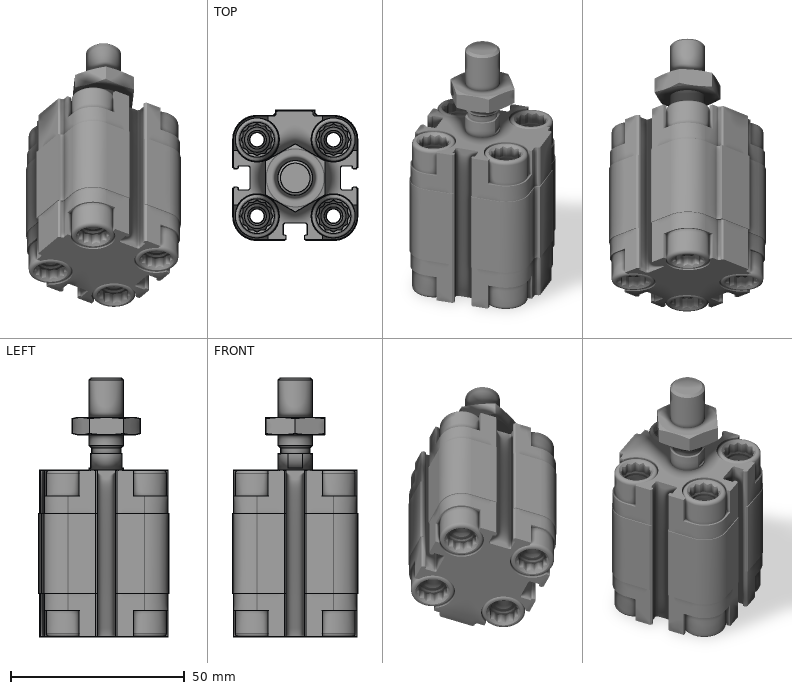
import cadquery as cq
import math

TOTAL_HEIGHT = 74.5
HOUSING_HEIGHT = 48.0
CAP_HEIGHT = 12.5

BARREL_WIDTH = 36.0
BARREL_DEPTH = 37.5
BARREL_HALF_WIDTH = BARREL_WIDTH / 2
BARREL_TAB_REACH = BARREL_DEPTH - BARREL_HALF_WIDTH
CAP_INSET = 0.2
SCREW_SPACING = 22.0
SCREW_OFFSET = SCREW_SPACING / 2
CORNERS = 4

BARREL_TAB_HALF_WIDTH = 5.65
BARREL_TAB_FLARE = 0.7
CAP_TAB_HALF_WIDTH = 5.4
CAP_TAB_CHAMFER = 0.4
CAP_TAB_FLARE = 0.45
CAP_TAB_SHIFT = -0.2

SLOT_FLOOR = 13.05
SLOT_HALF_WIDTH = 3.4
SLOT_LIP_INNER = 16.4
SLOT_GAP_HALF_WIDTH = 2.6
SLOT_EDGE_CHAMFER = 0.45
SLOT_LIP_CHAMFER = 0.3
SLOT_FLOOR_CHAMFER = 0.4
SLOT_ANGLES = (0, 180, 270)

HEAD_DIAMETER = 12.5
HEAD_HEIGHT = 7.5
HEAD_FILLET = 1.0
HEAD_BORE_DIAMETER = 12.8
HEAD_POCKET_EDGE = 7.8
SOCKET_RIM_DIAMETER = 10.0
SOCKET_ACROSS_FLATS = 8.0
SOCKET_DEPTH = 3.6
COUNTERBORE_DIAMETER = 7.2
COUNTERBORE_DEPTH = 4.3
HOLE_DIAMETER = 4.1
HOLE_MOUTH_DIAMETER = 5.4

ROD_DIAMETER = 10.0
ROD_SHOULDER_Z = 52.7
FLATS_START_Z = 48.5
FLATS_ACROSS = 9.0
UNDERCUT_DIAMETER = 8.5
UNDERCUT_TOP_Z = 54.4
ROD_CHAMFER_HEIGHT = 0.7

NUT_ACROSS_FLATS = 17.0
NUT_HEIGHT = 5.0
NUT_BOTTOM_Z = 58.1
NUT_FACE_DIAMETER = 16.7
NUT_CHAMFER_HEIGHT = 0.4


def hexagon_corner_diameter(across_flats):
    return across_flats / math.cos(math.radians(30))


def barrel_tab():
    foot_y = BARREL_HALF_WIDTH
    foot_x = BARREL_TAB_HALF_WIDTH + BARREL_TAB_FLARE
    right = [
        (foot_x, 0),
        (foot_x, foot_y),
        (BARREL_TAB_HALF_WIDTH, foot_y + BARREL_TAB_FLARE),
        (BARREL_TAB_HALF_WIDTH, BARREL_TAB_REACH),
    ]
    left = [(-x, y) for x, y in reversed(right)]
    return right + left


def cap_tab():
    foot_y = BARREL_HALF_WIDTH - CAP_INSET
    top_y = BARREL_TAB_REACH - CAP_INSET
    foot_x = CAP_TAB_HALF_WIDTH + CAP_TAB_FLARE
    right = [
        (foot_x, 0),
        (foot_x, foot_y),
        (CAP_TAB_HALF_WIDTH, foot_y + CAP_TAB_FLARE),
        (CAP_TAB_HALF_WIDTH, top_y - CAP_TAB_CHAMFER),
        (CAP_TAB_HALF_WIDTH - CAP_TAB_CHAMFER, top_y),
    ]
    left = [(-x, y) for x, y in reversed(right)]
    return [(x + CAP_TAB_SHIFT, y) for x, y in right + left]


def slot_cutter(face, height):
    """T-slot that opens through the +X side at X = face, with chamfered lips and floor corners."""
    half = [
        (SLOT_FLOOR, SLOT_HALF_WIDTH - SLOT_FLOOR_CHAMFER),
        (SLOT_FLOOR + SLOT_FLOOR_CHAMFER, SLOT_HALF_WIDTH),
        (SLOT_LIP_INNER, SLOT_HALF_WIDTH),
        (SLOT_LIP_INNER, SLOT_GAP_HALF_WIDTH + SLOT_LIP_CHAMFER),
        (SLOT_LIP_INNER + SLOT_LIP_CHAMFER, SLOT_GAP_HALF_WIDTH),
        (face - SLOT_EDGE_CHAMFER, SLOT_GAP_HALF_WIDTH),
        (face, SLOT_GAP_HALF_WIDTH + SLOT_EDGE_CHAMFER),
        (face + SLOT_EDGE_CHAMFER, SLOT_GAP_HALF_WIDTH + SLOT_EDGE_CHAMFER),
    ]
    mirrored = [(x, -y) for x, y in reversed(half)]
    return cq.Workplane("XY").polyline(half + mirrored).close().extrude(height)


def profile_block(half_width, tab, height):
    """Length of the slotted housing profile that stands on Z = 0."""
    block = (
        cq.Workplane("XY")
        .rect(2 * half_width, 2 * half_width)
        .extrude(height)
        .edges("|Z")
        .fillet(half_width - SCREW_OFFSET)
    )
    block = block.union(cq.Workplane("XY").polyline(tab).close().extrude(height))
    cutter = slot_cutter(half_width, height)
    for angle in SLOT_ANGLES:
        block = block.cut(cutter.rotate((0, 0, 0), (0, 0, 1), angle))
    return block


def corner_pocket():
    """Square pocket that opens the +X +Y corner of a cap around a screw head."""
    size = BARREL_HALF_WIDTH - HEAD_POCKET_EDGE
    centre = HEAD_POCKET_EDGE + size / 2
    pocket = cq.Workplane("XY").center(centre, centre).rect(size, size).extrude(-HEAD_HEIGHT)
    bore = (
        cq.Workplane("XY")
        .center(SCREW_OFFSET, SCREW_OFFSET)
        .circle(HEAD_BORE_DIAMETER / 2)
        .extrude(-HEAD_HEIGHT)
    )
    return pocket.union(bore)


def screw_head():
    """Screw head with its top at Z = 0."""
    return (
        cq.Workplane("XY")
        .circle(HEAD_DIAMETER / 2)
        .extrude(-HEAD_HEIGHT)
        .faces(">Z")
        .edges()
        .fillet(HEAD_FILLET)
    )


def socket_cutter():
    """Twelve-point socket with a conical rim, a counterbore and a chamfered hole mouth."""
    corner_diameter = hexagon_corner_diameter(SOCKET_ACROSS_FLATS)
    hexagon = cq.Workplane("XY").polygon(6, corner_diameter).extrude(-SOCKET_DEPTH)
    star = hexagon.union(hexagon.rotate((0, 0, 0), (0, 0, 1), 30))

    rim_radius = SOCKET_RIM_DIAMETER / 2
    mouth_radius = HOLE_MOUTH_DIAMETER / 2
    hole_radius = HOLE_DIAMETER / 2
    mouth_bottom = COUNTERBORE_DEPTH + mouth_radius - hole_radius
    rim = cq.Workplane("XZ").polyline([(0, 0), (rim_radius, 0), (0, -rim_radius)]).close().revolve()
    bore = (
        cq.Workplane("XZ")
        .moveTo(0, 0)
        .lineTo(COUNTERBORE_DIAMETER / 2, 0)
        .lineTo(COUNTERBORE_DIAMETER / 2, -COUNTERBORE_DEPTH)
        .lineTo(mouth_radius, -COUNTERBORE_DEPTH)
        .lineTo(hole_radius, -mouth_bottom)
        .lineTo(hole_radius, -HOUSING_HEIGHT / 2)
        .lineTo(0, -HOUSING_HEIGHT / 2)
        .close()
        .revolve()
    )
    return star.union(rim).union(bore)


def at_corners(shape):
    """Copies of a shape made for the +X +Y corner, turned to all four corners."""
    return [shape.rotate((0, 0, 0), (0, 0, 1), 360 / CORNERS * i) for i in range(CORNERS)]


def make_front_cap():
    """Cap with its four screw heads, with its outer face at Z = 0."""
    cap = profile_block(BARREL_HALF_WIDTH - CAP_INSET, cap_tab(), CAP_HEIGHT)
    cap = cap.translate((0, 0, -CAP_HEIGHT))
    for pocket in at_corners(corner_pocket()):
        cap = cap.cut(pocket)
    for head in at_corners(screw_head().translate((SCREW_OFFSET, SCREW_OFFSET, 0))):
        cap = cap.union(head)
    return cap


def make_housing():
    """Barrel with both caps and the screw heads, drilled for the screws and the rod."""
    barrel_height = HOUSING_HEIGHT - 2 * CAP_HEIGHT
    barrel = profile_block(BARREL_HALF_WIDTH, barrel_tab(), barrel_height).translate((0, 0, CAP_HEIGHT))
    front_cap = make_front_cap().translate((0, 0, HOUSING_HEIGHT))
    middle = (0, 0, HOUSING_HEIGHT / 2)
    body = barrel.union(front_cap).union(front_cap.mirror("XY", middle))

    socket = socket_cutter().translate((SCREW_OFFSET, SCREW_OFFSET, HOUSING_HEIGHT))
    for cutter in at_corners(socket):
        body = body.cut(cutter).cut(cutter.mirror("XY", middle))

    rod_bore = (
        cq.Workplane("XY", origin=(0, 0, HOUSING_HEIGHT)).circle(ROD_DIAMETER / 2).extrude(-CAP_HEIGHT)
    )
    return body.cut(rod_bore)


def make_rod():
    """Rod with an undercut and a chamfered thread; it ends in the front cap's bore."""
    radius = ROD_DIAMETER / 2
    neck_radius = UNDERCUT_DIAMETER / 2
    foot_z = HOUSING_HEIGHT - CAP_HEIGHT
    rod = (
        cq.Workplane("XZ")
        .moveTo(0, foot_z)
        .lineTo(radius, foot_z)
        .lineTo(radius, ROD_SHOULDER_Z)
        .lineTo(neck_radius, ROD_SHOULDER_Z)
        .lineTo(neck_radius, UNDERCUT_TOP_Z)
        .lineTo(radius, UNDERCUT_TOP_Z + ROD_CHAMFER_HEIGHT)
        .lineTo(radius, TOTAL_HEIGHT - ROD_CHAMFER_HEIGHT)
        .lineTo(neck_radius, TOTAL_HEIGHT)
        .lineTo(0, TOTAL_HEIGHT)
        .close()
        .revolve()
    )
    flats_height = ROD_SHOULDER_Z - FLATS_START_Z
    flats_cut = (
        cq.Workplane("XY", origin=(0, 0, FLATS_START_Z))
        .rect(2 * ROD_DIAMETER, 2 * ROD_DIAMETER)
        .rect(2 * ROD_DIAMETER, FLATS_ACROSS)
        .extrude(flats_height)
    )
    return rod.cut(flats_cut)


def make_nut():
    """Hexagonal nut with corners towards -Y and +Y, chamfered on both faces."""
    corner_diameter = hexagon_corner_diameter(NUT_ACROSS_FLATS)
    corner_radius = corner_diameter / 2
    face_radius = NUT_FACE_DIAMETER / 2
    blank = cq.Workplane("XY").polygon(6, corner_diameter).extrude(NUT_HEIGHT)
    blank = blank.rotate((0, 0, 0), (0, 0, 1), 90)
    chamfered_disc = (
        cq.Workplane("XZ")
        .moveTo(0, 0)
        .lineTo(face_radius, 0)
        .lineTo(corner_radius, NUT_CHAMFER_HEIGHT)
        .lineTo(corner_radius, NUT_HEIGHT - NUT_CHAMFER_HEIGHT)
        .lineTo(face_radius, NUT_HEIGHT)
        .lineTo(0, NUT_HEIGHT)
        .close()
        .revolve()
    )
    thread = cq.Workplane("XY").circle(ROD_DIAMETER / 2).extrude(NUT_HEIGHT)
    return blank.intersect(chamfered_disc).cut(thread).translate((0, 0, NUT_BOTTOM_Z))


housing = make_housing()
rod = make_rod()
nut = make_nut()

result = cq.Compound.makeCompound([housing.val(), rod.val(), nut.val()])